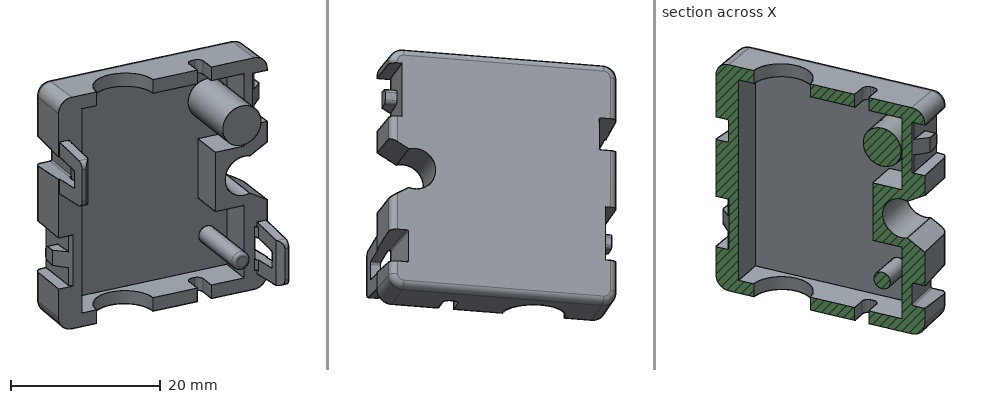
import cadquery as cq
import math


body_width = 31.5
body_height = 34.0
body_depth = 7.0
side_draft = 1.0
corner_radius = 2.0
back_edge_radius = 1.0
back_thickness = 2.0
end_wall = 2.0
side_wall = 3.5

latch_draft = 5.0
hook_tip = 13.5
hook_outer_depth = 0.15
hook_thickness = 1.4
hook_half_height = 3.8
hook_corner_radius = 1.0
hook_lead_length = 1.0
hook_lead_depth = 0.8
hook_root_size = 0.4
hook_root_inset = 0.6
window_half_height = 2.25
window_end = 11.35
window_corner_radius = 0.35
pocket_back_depth = 2.6
pocket_rim_depth = 1.88
pocket_corner_radius = 0.2

recess_height = 7.5
recess_depth = 1.75
catch_start = 3.0
catch_outer_depth = 0.15
catch_peak = 4.95
catch_start_half_height = 1.02
catch_rim_half_height = 1.2
catch_corner_radius = 0.5

front_hook_z = 7.0
rear_hook_z = -11.0

end_cable_radius = 4.25
end_cable_y = -5.75
side_cable_radius = 2.85
side_cable_depth = 3.5
side_cable_mouth_half_height = 4.25
side_cable_mouth_angle = 30.0
collar_wall = 1.5

slot_y = 6.25
slot_width = 2.1
slot_bottom = 3.8
slot_corner_radius = 0.85

post_tip = 12.0
post_y = 9.3
post_z = 10.0
post_radius = 2.88
pin_radius = 1.27
pin_end_radius = 0.5

half_width = body_width / 2
side_y = -half_width
latch_slope = math.tan(math.radians(latch_draft))
overcut = 1.0


def cuboid(x_range, y_range, z_range):
    sizes = [high - low for low, high in (x_range, y_range, z_range)]
    corner = (x_range[0], y_range[0], z_range[0])
    return cq.Workplane("XY").box(*sizes, centered=False).translate(corner)


def trapezoid(x_start, start_half_height, x_end, end_half_height):
    """(X, Z) outline symmetric about Z = 0."""
    return [
        (x_start, start_half_height),
        (x_end, end_half_height),
        (x_end, -end_half_height),
        (x_start, -start_half_height),
    ]


def window_half_height_at(x):
    return window_half_height - x * latch_slope


def prism_along_y(points, depth_from, depth_to):
    """Extrude an (X, Z) outline between two depths inside the -Y side."""
    plane = cq.Workplane("XZ", origin=(0, side_y + depth_from, 0))
    return plane.polyline(points).close().extrude(depth_from - depth_to)


def prism_along_z(points, half_height):
    """Extrude an (X, depth) outline of the -Y side symmetrically about Z = 0."""
    outline = [(x, side_y + depth) for x, depth in points]
    return cq.Workplane("XY").polyline(outline).close().extrude(half_height, both=True)


def on_sides(shape, front_z, rear_z):
    """Place a -Y side feature at one height, and its mirror image on +Y at another."""
    front = shape.translate((0, 0, front_z))
    rear = shape.mirror("XZ").translate((0, 0, rear_z))
    return front, rear


def tray():
    outline = cq.Workplane("ZY", origin=(body_depth, 0, 0)).sketch()
    outline = outline.rect(body_height, body_width).vertices().fillet(corner_radius).finalize()
    shell = outline.extrude(body_depth, taper=side_draft)
    shell = shell.faces("<X").edges().fillet(back_edge_radius)
    cavity_y = half_width - side_wall
    cavity_z = body_height / 2 - end_wall
    cavity = cuboid(
        (back_thickness, body_depth + overcut), (-cavity_y, cavity_y), (-cavity_z, cavity_z)
    )
    return shell.cut(cavity)


def side_cable_collar():
    reach = side_cable_depth + side_cable_radius + collar_wall
    half_height = side_cable_radius + collar_wall
    return cuboid(
        (back_thickness, body_depth),
        (half_width - reach, half_width - side_wall),
        (-half_height, half_height),
    )


def side_cable_opening():
    """Round hole along X with a flared mouth through the +Y side."""
    slope = math.tan(math.radians(side_cable_mouth_angle))
    outer_half_height = side_cable_mouth_half_height + overcut * slope
    inner_half_height = side_cable_mouth_half_height - side_cable_depth * slope
    axis_y = half_width - side_cable_depth
    mouth = [
        (half_width + overcut, outer_half_height),
        (axis_y, inner_half_height),
        (axis_y, -inner_half_height),
        (half_width + overcut, -outer_half_height),
    ]
    hole = cq.Workplane("YZ").center(axis_y, 0).circle(side_cable_radius).extrude(body_depth)
    return hole.union(cq.Workplane("YZ").polyline(mouth).close().extrude(body_depth))


def end_cable_opening():
    axis = cq.Workplane("XY").center(body_depth, end_cable_y)
    return axis.circle(end_cable_radius).extrude(body_height, both=True)


def end_slot():
    slot = cuboid(
        (slot_bottom, body_depth + overcut),
        (slot_y - slot_width / 2, slot_y + slot_width / 2),
        (-body_height, body_height),
    )
    return slot.edges("|Z and <X").fillet(slot_corner_radius)


def hook():
    tip_half_height = hook_half_height - (hook_tip - body_depth) * latch_slope
    outline = trapezoid(body_depth, hook_half_height, hook_tip, tip_half_height)
    inner_depth = hook_outer_depth + hook_thickness
    arm = prism_along_y(outline, hook_outer_depth, inner_depth)
    arm = arm.edges("|Y and >X").fillet(hook_corner_radius)
    lead_in = [
        (hook_tip, inner_depth),
        (hook_tip - hook_lead_length, inner_depth),
        (hook_tip, inner_depth - hook_lead_depth),
    ]
    root = [
        (body_depth, inner_depth),
        (body_depth + hook_root_size, inner_depth),
        (body_depth, inner_depth + hook_root_size),
    ]
    arm = arm.cut(prism_along_z(lead_in, hook_half_height))
    return arm.union(prism_along_z(root, hook_half_height - hook_root_inset))


def hook_window():
    """Opening between the arms of a hook, beyond the rim."""
    rim_half_height = window_half_height_at(body_depth)
    end_half_height = window_half_height_at(window_end)
    outline = trapezoid(body_depth, rim_half_height, window_end, end_half_height)
    window = prism_along_y(outline, -overcut, side_wall)
    return window.edges("|Y and >X").fillet(window_corner_radius)


def hook_pocket():
    """Tapered channel through the tray side, in line with the hook window."""
    rim_half_height = window_half_height_at(body_depth)
    outline = trapezoid(0, window_half_height, body_depth, rim_half_height)
    profile = [
        (0, -overcut),
        (0, pocket_back_depth),
        (body_depth, pocket_rim_depth),
        (body_depth, -overcut),
    ]
    channel = prism_along_y(outline, -overcut, side_wall)
    channel = channel.intersect(prism_along_z(profile, window_half_height))
    inner_edges = channel.faces(">Y").edges("not(<X or >X)")
    return inner_edges.fillet(pocket_corner_radius)


def catch_recess():
    """Recess with a 45 degree chamfer where its floor meets the rim."""
    chamfer_start = catch_peak + recess_depth - catch_outer_depth
    profile = [
        (-overcut, -overcut),
        (-overcut, recess_depth),
        (chamfer_start, recess_depth),
        (body_depth, recess_depth + body_depth - chamfer_start),
        (body_depth, -overcut),
    ]
    return prism_along_z(profile, recess_height / 2)


def catch():
    """Snap catch: square on its -X face, with a 45 degree lead-in that continues the rim chamfer."""
    ramp_end_depth = catch_outer_depth + body_depth - catch_peak
    outline = trapezoid(catch_start, catch_start_half_height, body_depth, catch_rim_half_height)
    profile = [
        (catch_start, catch_outer_depth),
        (catch_peak, catch_outer_depth),
        (body_depth, ramp_end_depth),
        (catch_start, ramp_end_depth),
    ]
    wedge = prism_along_y(outline, catch_outer_depth, ramp_end_depth)
    wedge = wedge.edges("|Y and <X").fillet(catch_corner_radius)
    return wedge.intersect(prism_along_z(profile, catch_rim_half_height))


def rod(radius, z):
    """Round rod from the tray floor, parallel to X."""
    base = cq.Workplane("YZ", origin=(back_thickness, post_y, z))
    return base.circle(radius).extrude(post_tip - back_thickness)


def build():
    part = tray().union(side_cable_collar())
    for cutter in (side_cable_opening(), end_cable_opening(), end_slot()):
        part = part.cut(cutter)

    for recess in on_sides(catch_recess(), -front_hook_z, -rear_hook_z):
        part = part.cut(recess)
    for tooth in on_sides(catch(), -front_hook_z, -rear_hook_z):
        part = part.union(tooth)
    for arm in on_sides(hook(), front_hook_z, rear_hook_z):
        part = part.union(arm)
    for cutter in (hook_window(), hook_pocket()):
        for opening in on_sides(cutter, front_hook_z, rear_hook_z):
            part = part.cut(opening)

    part = part.union(rod(post_radius, post_z))
    return part.union(rod(pin_radius, -post_z).faces(">X").edges().fillet(pin_end_radius))


result = build()